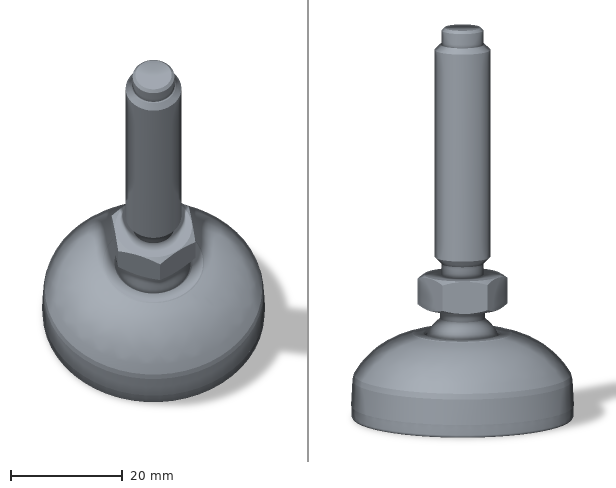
import cadquery as cq
import math


rim_radius = 20.0
pad_radius = 19.9
pad_edge_fillet = 0.5
pad_height = 2.4
shoulder_radius = 19.75
shoulder_height = 7.0
dome_edge_radius = 19.5
dome_edge_height = 8.0
dome_top_radius = 9.1
base_height = 15.55
dome_lip_width = 0.2
dome_lip_height = 0.1
dome_bulge = 1.35
socket_diameter = 13.28
socket_mouth_diameter = 14.0

ball_diameter = 14.0
neck_diameter = 8.06
neck_start_height = 18.2

hexagon_sides = 6
hexagon_flats = 14.0
hexagon_bottom = 20.2
hexagon_height = 6.0
hexagon_face_diameter = 13.8
hexagon_chamfer_angle = math.radians(30)

total_height = 71.2
stud_diameter = 10.0
relief_diameter = 7.5
relief_height = 2.0
lower_chamfer = (stud_diameter - relief_diameter) / 2
thread_root_diameter = 8.06
upper_chamfer = (stud_diameter - thread_root_diameter) / 2
pin_diameter = 7.5
pin_height = 3.05
pin_chamfer = 0.5

ball_radius = ball_diameter / 2
ball_center = neck_start_height - math.sqrt(ball_radius**2 - (neck_diameter / 2) ** 2)
hexagon_top = hexagon_bottom + hexagon_height
stud_bottom = hexagon_top + relief_height
stud_top = total_height - pin_height


def arc_midpoint(start, end, bulge):
    """Middle point of an arc standing off its chord by bulge, away from the axis."""
    run = end[0] - start[0]
    rise = end[1] - start[1]
    chord = math.hypot(run, rise)
    middle_radius = (start[0] + end[0]) / 2 + bulge * rise / chord
    middle_height = (start[1] + end[1]) / 2 - bulge * run / chord
    return middle_radius, middle_height


def revolve_profile(profile):
    """Close a radius-height outline and turn it about the Z axis."""
    return profile.close().revolve(360, (0, 0, 0), (0, 1, 0))


def make_base():
    dome_edge = (dome_edge_radius, dome_edge_height)
    dome_top = (dome_top_radius, base_height - dome_lip_height)
    base = revolve_profile(
        cq.Workplane("XZ")
        .lineTo(pad_radius - pad_edge_fillet, 0)
        .radiusArc((pad_radius, pad_edge_fillet), -pad_edge_fillet)
        .lineTo(pad_radius, pad_height)
        .lineTo(rim_radius, pad_height)
        .lineTo(shoulder_radius, shoulder_height)
        .lineTo(*dome_edge)
        .threePointArc(arc_midpoint(dome_edge, dome_top, dome_bulge), dome_top)
        .lineTo(dome_top_radius - dome_lip_width, base_height)
        .lineTo(0, base_height)
    )
    socket_radius = socket_diameter / 2
    mouth_radius = socket_mouth_diameter / 2
    mouth_chamfer = mouth_radius - socket_radius
    socket = revolve_profile(
        cq.Workplane("XZ")
        .moveTo(0, ball_center)
        .lineTo(socket_radius, ball_center)
        .lineTo(socket_radius, base_height - mouth_chamfer)
        .lineTo(mouth_radius, base_height)
        .lineTo(0, base_height)
    )
    return base.cut(socket)


def make_ball_and_neck():
    ball = cq.Workplane("XY").sphere(ball_radius).translate((0, 0, ball_center))
    neck = (
        cq.Workplane("XY")
        .workplane(offset=ball_center)
        .circle(neck_diameter / 2)
        .extrude(hexagon_bottom - ball_center)
    )
    return ball.union(neck)


def make_hexagon():
    corner_radius = hexagon_flats / 2 / math.cos(math.pi / hexagon_sides)
    corner_turn = 180 / hexagon_sides
    face_radius = hexagon_face_diameter / 2
    chamfer_drop = (corner_radius - face_radius) * math.tan(hexagon_chamfer_angle)
    prism = (
        cq.Workplane("XY")
        .workplane(offset=hexagon_bottom)
        .polygon(hexagon_sides, 2 * corner_radius)
        .extrude(hexagon_height)
        .rotate((0, 0, 0), (0, 0, 1), corner_turn)
    )
    chamfer_envelope = revolve_profile(
        cq.Workplane("XZ")
        .moveTo(0, hexagon_bottom)
        .lineTo(face_radius, hexagon_bottom)
        .lineTo(corner_radius, hexagon_bottom + chamfer_drop)
        .lineTo(corner_radius, hexagon_top - chamfer_drop)
        .lineTo(face_radius, hexagon_top)
        .lineTo(0, hexagon_top)
    )
    return prism.intersect(chamfer_envelope)


def make_stud():
    stud_radius = stud_diameter / 2
    relief_radius = relief_diameter / 2
    pin_radius = pin_diameter / 2
    return revolve_profile(
        cq.Workplane("XZ")
        .moveTo(0, hexagon_top)
        .lineTo(relief_radius, hexagon_top)
        .lineTo(relief_radius, stud_bottom)
        .lineTo(stud_radius, stud_bottom + lower_chamfer)
        .lineTo(stud_radius, stud_top - upper_chamfer)
        .lineTo(thread_root_diameter / 2, stud_top)
        .lineTo(pin_radius, stud_top)
        .lineTo(pin_radius, total_height - pin_chamfer)
        .lineTo(pin_radius - pin_chamfer, total_height)
        .lineTo(0, total_height)
    )


result = make_base().union(make_ball_and_neck()).union(make_hexagon()).union(make_stud())